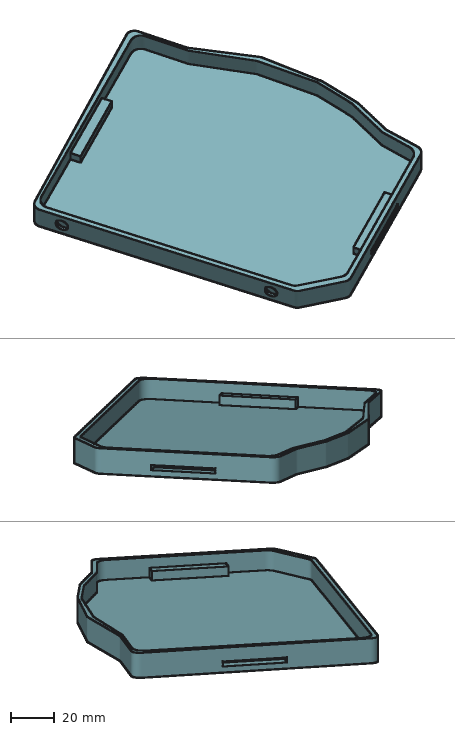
import cadquery as cq

HEIGHT = 12.0
FLOOR_THICKNESS = 2.5
CORNER_RADIUS = 4.0
INNER_CORNER_RADIUS = 5.0
BEND_RADIUS = 4.0
RIGHT_FACE = 152.46
RIGHT_INNER_FACE = 149.9

FRONT_LEFT = (1.1, 0.0)
FRONT_RIGHT = (132.9, 2.3)
BACK_LEFT_Y = 116.1
OUTER_CORNERS = [
    (*FRONT_LEFT, CORNER_RADIUS),
    (-0.1, BACK_LEFT_Y, CORNER_RADIUS),
    (28.5, BACK_LEFT_Y, BEND_RADIUS),
    (61.9, 124.47, BEND_RADIUS),
    (93.5, 122.4, BEND_RADIUS),
    (113.7, 117.0, BEND_RADIUS),
    (132.0, 107.5, BEND_RADIUS),
    (RIGHT_FACE, 103.3, CORNER_RADIUS),
    (RIGHT_FACE, 17.9, CORNER_RADIUS),
    (*FRONT_RIGHT, BEND_RADIUS),
]
INNER_BACK_LEFT_Y = 114.7
INNER_CORNERS = [
    (2.7, 2.6, INNER_CORNER_RADIUS),
    (3.2, INNER_BACK_LEFT_Y, INNER_CORNER_RADIUS),
    (30.0, INNER_BACK_LEFT_Y, BEND_RADIUS),
    (61.2, 121.6, BEND_RADIUS),
    (91.7, 120.9, BEND_RADIUS),
    (111.3, 115.6, BEND_RADIUS),
    (130.9, 105.4, BEND_RADIUS),
    (RIGHT_INNER_FACE, 101.3, INNER_CORNER_RADIUS),
    (RIGHT_INNER_FACE, 19.9, INNER_CORNER_RADIUS),
    (130.7, 4.8, BEND_RADIUS),
]

BLOCK_LENGTH = 36.0
BLOCK_CENTER_Y = 58.7
BLOCK_TOP = 7.0
LEFT_BLOCK_FACE = 8.0
RIGHT_BLOCK_FACE = 144.6
WALL_OVERLAP = 1.5

SLOT_LENGTH = 30.3
SLOT_HEIGHT = 2.4
SLOT_BOTTOM = 3.0
SLOT_END_WALL = 1.5

HOLE_DIAMETER = 6.1
HOLE_DEPTH = 1.6
HOLE_CENTERS_X = (16.2, 120.1)


def rounded_prism(corners, bottom, top):
    """Vertical prism with each upright edge rounded by its own radius."""
    outline = [(x, y) for x, y, _ in corners]
    prism = cq.Workplane("XY", origin=(0, 0, bottom)).polyline(outline).close().extrude(top - bottom)
    for x, y, radius in corners:
        edge = cq.selectors.NearestToPointSelector((x, y, (bottom + top) / 2))
        prism = prism.edges("|Z").edges(edge).fillet(radius)
    return prism


def side_box(x_start, x_end, length, bottom, top):
    """Box centred along Y on the blocks, between two X positions and two heights."""
    center = ((x_start + x_end) / 2, BLOCK_CENTER_Y, (bottom + top) / 2)
    return cq.Workplane("XY", origin=center).box(abs(x_end - x_start), length, top - bottom)


def make_tray():
    body = rounded_prism(OUTER_CORNERS, 0, HEIGHT)
    cavity = rounded_prism(INNER_CORNERS, FLOOR_THICKNESS, HEIGHT)
    return body.cut(cavity)


def add_slotted_block(body, outer_face, block_face):
    """Add a block whose free side is block_face, slotted from the tray's outer_face."""
    inward = 1 if block_face > outer_face else -1
    block_start = outer_face + inward * WALL_OVERLAP
    slot_end = block_face - inward * SLOT_END_WALL
    block = side_box(block_start, block_face, BLOCK_LENGTH, FLOOR_THICKNESS, BLOCK_TOP)
    slot = side_box(outer_face, slot_end, SLOT_LENGTH, SLOT_BOTTOM, SLOT_BOTTOM + SLOT_HEIGHT)
    return body.union(block).cut(slot)


def cut_front_holes(body):
    run = FRONT_RIGHT[0] - FRONT_LEFT[0]
    rise = FRONT_RIGHT[1] - FRONT_LEFT[1]
    for x in HOLE_CENTERS_X:
        y = FRONT_LEFT[1] + (x - FRONT_LEFT[0]) * rise / run
        face = cq.Plane(origin=(x, y, HEIGHT / 2), xDir=(run, rise, 0), normal=(rise, -run, 0))
        body = body.cut(cq.Workplane(face).circle(HOLE_DIAMETER / 2).extrude(-HOLE_DEPTH))
    return body


result = make_tray()
result = add_slotted_block(result, 0, LEFT_BLOCK_FACE)
result = add_slotted_block(result, RIGHT_FACE, RIGHT_BLOCK_FACE)
result = cut_front_holes(result)